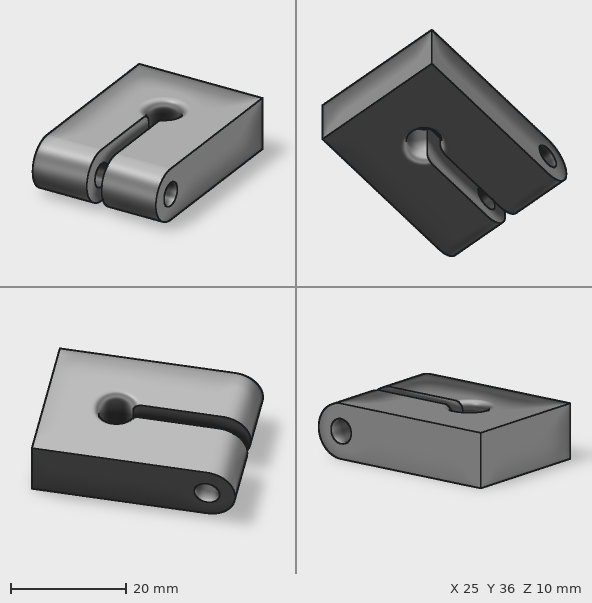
import cadquery as cq

length = 36.0
width = 25.0
thickness = 10.0
nose_radius = thickness / 2
nose_center_y = nose_radius - length / 2

bore_diameter = 6.12
rim_radius = 1.5
bore_center_y = length / 2 - width / 2

slot_width = 3.0
screw_hole_diameter = 4.5


def make_block():
    """Flat block with a full-round front end, centred on the origin."""
    half_thickness = thickness / 2
    return (
        cq.Workplane("YZ")
        .moveTo(length / 2, half_thickness)
        .lineTo(nose_center_y, half_thickness)
        .threePointArc((-length / 2, 0), (nose_center_y, -half_thickness))
        .lineTo(length / 2, -half_thickness)
        .close()
        .extrude(width / 2, both=True)
    )


def make_bore():
    """Vertical bore cutter that flares outward along a quarter round at each end."""
    bore_radius = bore_diameter / 2
    flare_radius = bore_radius + rim_radius
    half_thickness = thickness / 2
    straight_half = half_thickness - rim_radius
    return (
        cq.Workplane("XZ", origin=(0, bore_center_y, 0))
        .moveTo(0, -half_thickness)
        .lineTo(flare_radius, -half_thickness)
        .radiusArc((bore_radius, -straight_half), rim_radius)
        .lineTo(bore_radius, straight_half)
        .radiusArc((flare_radius, half_thickness), rim_radius)
        .lineTo(0, half_thickness)
        .close()
        .revolve(360, (0, 0, 0), (0, 1, 0))
    )


def make_slot():
    """Slot cutter running from the bore centre out through the nose."""
    slot_length = bore_center_y + length / 2
    return (
        cq.Workplane("XY")
        .box(slot_width, slot_length, thickness)
        .translate((0, bore_center_y - slot_length / 2, 0))
    )


def make_screw_hole():
    """Cross hole cutter along X, concentric with the rounded nose."""
    return (
        cq.Workplane("YZ")
        .center(nose_center_y, 0)
        .circle(screw_hole_diameter / 2)
        .extrude(width / 2, both=True)
    )


result = make_block().cut(make_bore()).cut(make_slot()).cut(make_screw_hole())